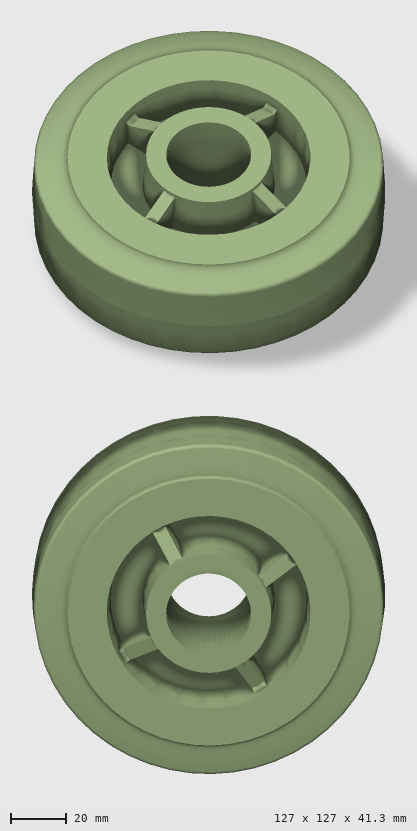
import cadquery as cq
import math

OUTER_RADIUS = 63.5
HUB_WIDTH = 41.3
HUB_HALF_WIDTH = HUB_WIDTH / 2
RIM_HALF_WIDTH = 19.0

BORE_RADIUS = 15.2
CORE_RADIUS = 46.4
HUB_TOP_RADIUS = 22.5
HUB_BASE_RADIUS = 23.7
POCKET_TOP_RADIUS = 36.6
POCKET_FLOOR_RADIUS = 35.2
WEB_HALF_WIDTH = 3.4

RIB_COUNT = 4
RIB_WIDTH = 5.1
RIB_HUB_HEIGHT = 19.3
RIB_LOW_RADIUS = 34.5
RIB_LOW_HEIGHT = 13.5
RIB_RIM_HEIGHT = 14.7
RIB_INNER_RADIUS = (BORE_RADIUS + HUB_TOP_RADIUS) / 2
RIB_OUTER_RADIUS = (POCKET_TOP_RADIUS + CORE_RADIUS) / 2

TYRE_STEP_RADIUS = 50.7
STEP_FOOT_RADIUS = 52.2
STEP_FOOT_HEIGHT = 17.7
SHOULDER_RADIUS = 61.3
SHOULDER_HEIGHT = 16.6
TREAD_EDGE_RADIUS = 62.7
TREAD_EDGE_HEIGHT = 15.2


def bulge_point(start, end, outward):
    """Middle point of an arc of about a quarter turn, bulging along +R +Z (1) or -R -Z (-1)."""
    chord = math.dist(start, end)
    quarter_turn = math.pi / 2
    sagitta = chord / 2 * math.tan(quarter_turn / 4)
    shift = outward * sagitta / math.sqrt(2)
    return ((start[0] + end[0]) / 2 + shift, (start[1] + end[1]) / 2 + shift)


def revolve_half(profile):
    """Turn an (R, Z) profile about the Z axis."""
    return profile.close().revolve(360, (0, 0, 0), (0, 1, 0))


def mirror_both_sides(upper_half):
    """Join an upper half with its mirror image below the mid plane."""
    return upper_half.union(upper_half.mirror("XY"))


def make_core_half():
    """Hub, web and rim above the mid plane."""
    return revolve_half(
        cq.Workplane("XZ")
        .moveTo(BORE_RADIUS, 0)
        .lineTo(BORE_RADIUS, HUB_HALF_WIDTH)
        .lineTo(HUB_TOP_RADIUS, HUB_HALF_WIDTH)
        .lineTo(HUB_BASE_RADIUS, WEB_HALF_WIDTH)
        .lineTo(POCKET_FLOOR_RADIUS, WEB_HALF_WIDTH)
        .lineTo(POCKET_TOP_RADIUS, RIM_HALF_WIDTH)
        .lineTo(CORE_RADIUS, RIM_HALF_WIDTH)
        .lineTo(CORE_RADIUS, 0)
    )


def make_ribs():
    """Four ribs with conical tops, sunk into the hub and the rim."""
    envelope = revolve_half(
        cq.Workplane("XZ")
        .moveTo(RIB_INNER_RADIUS, 0)
        .lineTo(RIB_INNER_RADIUS, RIB_HUB_HEIGHT)
        .lineTo(HUB_TOP_RADIUS, RIB_HUB_HEIGHT)
        .lineTo(RIB_LOW_RADIUS, RIB_LOW_HEIGHT)
        .lineTo(POCKET_TOP_RADIUS, RIB_RIM_HEIGHT)
        .lineTo(RIB_OUTER_RADIUS, RIB_RIM_HEIGHT)
        .lineTo(RIB_OUTER_RADIUS, 0)
    )
    bars = cq.Workplane("XY")
    for index in range(RIB_COUNT):
        bar = cq.Workplane("XY").box(
            CORE_RADIUS, RIB_WIDTH, HUB_HALF_WIDTH, centered=(False, True, False)
        )
        bars = bars.union(bar.rotate((0, 0, 0), (0, 0, 1), index * 360 / RIB_COUNT))
    return envelope.intersect(bars)


def make_core():
    """Complete wheel core with ribbed pockets on both sides."""
    return mirror_both_sides(make_core_half().union(make_ribs()))


def make_tyre():
    """Tyre ring with a tread tapering from mid width, rounded shoulders and stepped side walls."""
    step_top = (TYRE_STEP_RADIUS, RIM_HALF_WIDTH)
    step_foot = (STEP_FOOT_RADIUS, STEP_FOOT_HEIGHT)
    shoulder = (SHOULDER_RADIUS, SHOULDER_HEIGHT)
    tread_edge = (TREAD_EDGE_RADIUS, TREAD_EDGE_HEIGHT)
    half = revolve_half(
        cq.Workplane("XZ")
        .moveTo(CORE_RADIUS, 0)
        .lineTo(CORE_RADIUS, RIM_HALF_WIDTH)
        .lineTo(*step_top)
        .threePointArc(bulge_point(step_top, step_foot, -1), step_foot)
        .lineTo(*shoulder)
        .threePointArc(bulge_point(shoulder, tread_edge, 1), tread_edge)
        .lineTo(OUTER_RADIUS, 0)
    )
    return mirror_both_sides(half)


core = make_core()
tyre = make_tyre()

result = cq.Compound.makeCompound([*core.solids().vals(), *tyre.solids().vals()])